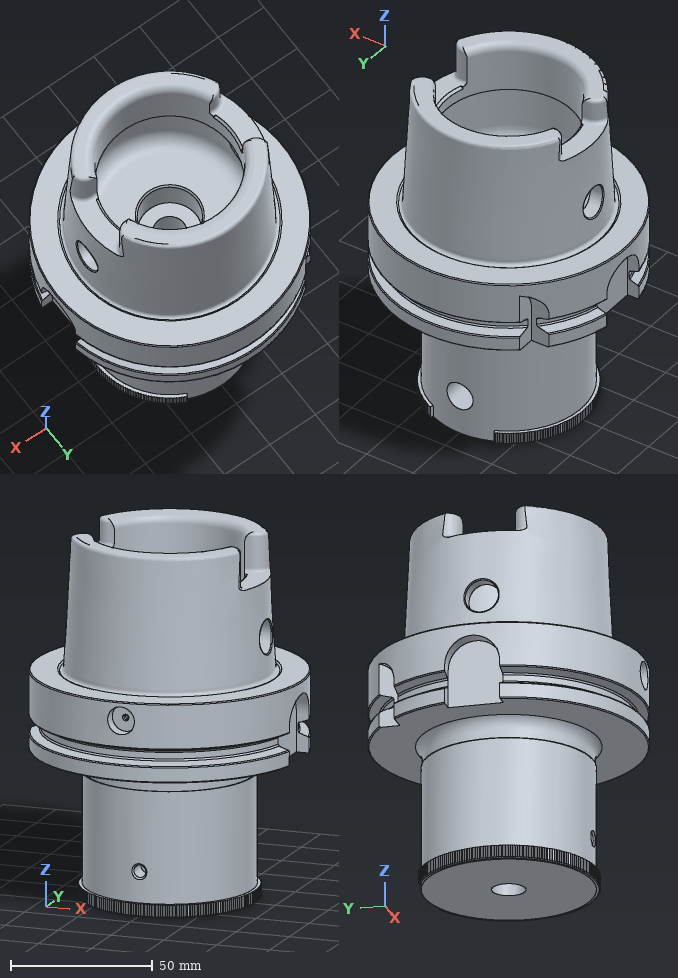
import cadquery as cq
import math

total_height = 132.9
flange_top = 82.9
flange_bottom = 54.0
groove_center_z = 63.0
ring_height = 4.8

nose_radius = 35.2
taper_base_radius = 37.6
taper_base_z = 84.8
nose_round = 1.6

flange_radius = 50.0
flange_edge_chamfer = 0.4
groove_floor_radius = 45.9
groove_shoulder_radius = 46.2
groove_mouth_half = 3.0
groove_shoulder_half = 1.9
groove_floor_half = 1.2

relief_round = 1.5
relief_depth = 0.5
relief_edge_chamfer = 0.7
relief_floor_z = flange_top - relief_depth
relief_floor_radius = taper_base_radius + relief_round

barrel_radius = 31.1
neck_radius = 30.7
barrel_top = 46.0
neck_round_start = 49.2
neck_round = 6.0

mouth_radius = 26.6
mouth_round = 3.6
lip_bottom = 112.7
chamber_radius = 31.5
chamber_round = 6.6
chamber_floor = 86.4
lip_slope = 30.0
coolant_seat_radius = 11.5
coolant_seat_chamfer = 0.7
coolant_seat_depth = 13.3
axial_hole_radius = 6.1

drive_half_width = 10.0
drive_corner_radius = 5.3
drive_land_x = 32.0
drive_floor_round = 1.7
drive_rim_chamfer = 0.9
drive_floor_left = 122.7
drive_floor_right = 117.9

gripper_slot_half_width = 10.1
gripper_slot_floor = 44.1
gripper_slot_top = 78.3
notch_floor = 31.2
notch_side = 31.5

cross_hole_radius = 6.1
cross_hole_z = 98.0
cross_hole_chamfer = 0.4
chip_hole_radius = 5.0
chip_hole_depth = 5.0
chip_hole_z = 76.0
chip_pilot_radius = 0.8
chip_pilot_mouth_radius = 1.2
chip_pilot_depth = 2.0
barrel_hole_z = 16.2
front_hole_radius = 2.3
front_hole_mouth_radius = 2.9
front_hole_depth = 8.0
back_hole_radius = 5.6
back_hole_depth = 10.6

ring_radius = 32.5
ring_half_gap = 25.0
ring_edge_chamfer = 0.5
tooth_count = 176
tooth_depth = 0.3

rim_margin = 0.7

overshoot = 6.6


def arc_point(center_u, center_v, radius, degrees):
    """Point on a circle in any sketch plane, at an angle from its first axis."""
    angle = math.radians(degrees)
    return (center_u + radius * math.cos(angle), center_v + radius * math.sin(angle))


def revolve_profile(profile):
    """Close a half section drawn in the XZ plane and turn it about the Z axis."""
    return profile.close().revolve(360, (0, 0, 0), (0, 1, 0))


def outer_blank():
    """Solid of revolution: barrel, flange with gripper groove, and taper."""
    neck_center_r = neck_radius + neck_round
    neck_rise = flange_bottom - neck_round_start
    neck_end_degrees = 180 - math.degrees(math.asin(neck_rise / neck_round))
    neck_end = arc_point(neck_center_r, neck_round_start, neck_round, neck_end_degrees)
    neck_middle = arc_point(neck_center_r, neck_round_start, neck_round, (180 + neck_end_degrees) / 2)
    relief_center_z = relief_floor_z + relief_round
    relief_middle = arc_point(relief_floor_radius, relief_center_z, relief_round, 225)
    relief_edge_radius = relief_floor_radius + relief_edge_chamfer
    nose_start_z = total_height - nose_round
    nose_middle = arc_point(nose_radius - nose_round, nose_start_z, nose_round, 45)
    chamfered_radius = flange_radius - flange_edge_chamfer

    profile = (
        cq.Workplane("XZ")
        .moveTo(0, 0)
        .lineTo(barrel_radius, 0)
        .lineTo(barrel_radius, barrel_top)
        .lineTo(neck_radius, barrel_top)
        .lineTo(neck_radius, neck_round_start)
        .threePointArc(neck_middle, neck_end)
        .lineTo(chamfered_radius, flange_bottom)
        .lineTo(flange_radius, flange_bottom + flange_edge_chamfer)
        .lineTo(flange_radius, groove_center_z - groove_mouth_half - flange_edge_chamfer)
        .lineTo(chamfered_radius, groove_center_z - groove_mouth_half)
        .lineTo(groove_shoulder_radius, groove_center_z - groove_shoulder_half)
        .lineTo(groove_floor_radius, groove_center_z - groove_floor_half)
        .lineTo(groove_floor_radius, groove_center_z + groove_floor_half)
        .lineTo(groove_shoulder_radius, groove_center_z + groove_shoulder_half)
        .lineTo(chamfered_radius, groove_center_z + groove_mouth_half)
        .lineTo(flange_radius, groove_center_z + groove_mouth_half + flange_edge_chamfer)
        .lineTo(flange_radius, flange_top - flange_edge_chamfer)
        .lineTo(chamfered_radius, flange_top)
        .lineTo(relief_edge_radius, flange_top)
        .lineTo(relief_floor_radius, relief_floor_z)
        .threePointArc(relief_middle, (taper_base_radius, relief_center_z))
        .lineTo(taper_base_radius, taper_base_z)
        .lineTo(nose_radius, nose_start_z)
        .threePointArc(nose_middle, (nose_radius - nose_round, total_height))
        .lineTo(0, total_height)
    )
    return revolve_profile(profile)


def bore():
    """Clamping bore with lip and chamber, coolant-tube seat and axial hole."""
    chamber_top = lip_bottom - (chamber_radius - mouth_radius) * math.tan(math.radians(lip_slope))
    chamber_floor_radius = chamber_radius - chamber_round
    chamber_middle = arc_point(chamber_floor_radius, chamber_floor + chamber_round, chamber_round, -45)
    mouth_edge_radius = mouth_radius + mouth_round
    mouth_start_z = total_height - mouth_round
    mouth_middle = arc_point(mouth_edge_radius, mouth_start_z, mouth_round, 135)
    seat_floor = chamber_floor - coolant_seat_depth

    profile = (
        cq.Workplane("XZ")
        .moveTo(0, -overshoot)
        .lineTo(axial_hole_radius, -overshoot)
        .lineTo(axial_hole_radius, seat_floor)
        .lineTo(coolant_seat_radius, seat_floor)
        .lineTo(coolant_seat_radius, chamber_floor - coolant_seat_chamfer)
        .lineTo(coolant_seat_radius + coolant_seat_chamfer, chamber_floor)
        .lineTo(chamber_floor_radius, chamber_floor)
        .threePointArc(chamber_middle, (chamber_radius, chamber_floor + chamber_round))
        .lineTo(chamber_radius, chamber_top)
        .lineTo(mouth_radius, lip_bottom)
        .lineTo(mouth_radius, mouth_start_z)
        .threePointArc(mouth_middle, (mouth_edge_radius, total_height))
        .lineTo(mouth_edge_radius, total_height + overshoot)
        .lineTo(0, total_height + overshoot)
    )
    return revolve_profile(profile)


def drive_slot(floor_z):
    """Cutter for a +X drive slot: flared mouth, rounded floor, chamfered inner rim."""
    flare_half_width = drive_half_width + drive_corner_radius
    outer_x = flange_radius
    flare_start_x = drive_land_x - drive_corner_radius
    diagonal = drive_corner_radius * math.sqrt(0.5)
    flare_middle = (flare_start_x + diagonal, flare_half_width - diagonal)

    slot = (
        cq.Workplane("XY", origin=(0, 0, floor_z))
        .moveTo(0, 0)
        .lineTo(0, drive_half_width)
        .lineTo(flare_start_x, drive_half_width)
        .threePointArc(flare_middle, (drive_land_x, flare_half_width))
        .lineTo(drive_land_x, flange_radius)
        .lineTo(outer_x, flange_radius)
        .lineTo(outer_x, 0)
        .mirrorX()
        .extrude(total_height + overshoot - floor_z)
        .faces("<Z")
        .edges("not(<X or >X or <Y or >Y)")
        .fillet(drive_floor_round)
    )
    rim = cq.Workplane(
        cq.Solid.makeCone(
            mouth_radius,
            mouth_radius + drive_rim_chamfer,
            drive_rim_chamfer,
            cq.Vector(0, 0, floor_z - drive_rim_chamfer),
        )
    )
    slot_width_strip = cq.Workplane("XY", origin=(0, 0, floor_z)).box(
        outer_x,
        2 * (drive_half_width - drive_floor_round),
        2 * drive_rim_chamfer,
        centered=(False, True, True),
    )
    return slot.union(rim.intersect(slot_width_strip))


def drive_slots():
    """Both drive slots, widened by a round along the top edges of the horns between them."""
    slots = drive_slot(drive_floor_right).union(
        drive_slot(drive_floor_left).rotate((0, 0, 0), (0, 0, 1), 180)
    )
    start_z = total_height - 2 * nose_round
    block = cq.Workplane("XY", origin=(0, 0, start_z)).circle(flange_radius).extrude(2 * nose_round)
    horns = block.cut(slots)
    rim_edges = [
        edge
        for edge in horns.faces(">Z").edges().vals()
        if math.hypot(edge.positionAt(0.5).x, edge.positionAt(0.5).y) < flange_radius - rim_margin
    ]
    rounded_horns = horns.newObject(rim_edges).fillet(nose_round)
    return slots.union(block.cut(rounded_horns))


def gripper_slot():
    """Cutter for a +X flange slot: flat floor, round upper end, open below."""
    arc_center_z = gripper_slot_top - gripper_slot_half_width
    return (
        cq.Workplane("YZ", origin=(gripper_slot_floor, 0, 0))
        .moveTo(-gripper_slot_half_width, flange_bottom)
        .lineTo(-gripper_slot_half_width, arc_center_z)
        .threePointArc((0, gripper_slot_top), (gripper_slot_half_width, arc_center_z))
        .lineTo(gripper_slot_half_width, flange_bottom)
        .close()
        .extrude(flange_radius)
    )


def locating_notch():
    """Off-centre cut on the -X, +Y side, shaped like the gripper slots."""
    shift_y = notch_side + gripper_slot_half_width
    return (
        gripper_slot()
        .rotate((0, 0, 0), (0, 0, 1), 180)
        .translate((gripper_slot_floor - notch_floor, shift_y, 0))
    )


def side_hole(radius, depth, surface, z, direction):
    """Cutter along Y, entering the +Y (1) or -Y (-1) side to the given depth."""
    return cq.Workplane(
        cq.Solid.makeCylinder(
            radius,
            depth + overshoot,
            cq.Vector(0, direction * (surface + overshoot), z),
            cq.Vector(0, -direction, 0),
        )
    )


def countersunk_hole(radius, mouth_radius, depth, surface, z):
    """Cutter for a -Y side hole with a 45-degree countersink that starts at the surface."""
    countersink = cq.Solid.makeCone(
        mouth_radius,
        radius,
        mouth_radius - radius,
        cq.Vector(0, -surface, z),
        cq.Vector(0, 1, 0),
    )
    return side_hole(radius, depth, surface, z, -1).union(cq.Workplane(countersink))


def cut_cross_hole(adapter):
    """Drill along X through both walls of the taper and chamfer the outer rims."""
    drill = (
        cq.Workplane("YZ", origin=(0, 0, cross_hole_z))
        .circle(cross_hole_radius)
        .extrude(flange_radius, both=True)
    )
    drilled = adapter.cut(drill)
    half_width = cross_hole_radius + rim_margin
    rims = cq.selectors.SumSelector(*[
        cq.selectors.BoxSelector(
            (side * (chamber_radius + rim_margin), -half_width, cross_hole_z - half_width),
            (side * flange_radius, half_width, cross_hole_z + half_width),
            boundingbox=True,
        )
        for side in (-1, 1)
    ])
    return drilled.edges(rims).chamfer(cross_hole_chamfer)


def make_adapter():
    """Adapter body: turned blank with its slots, notch and radial holes cut."""
    adapter = outer_blank().cut(drive_slots()).cut(bore())
    adapter = cut_cross_hole(adapter)
    for turn in (0, 180):
        adapter = adapter.cut(gripper_slot().rotate((0, 0, 0), (0, 0, 1), turn))
    adapter = adapter.cut(locating_notch())

    chip_floor = flange_radius - chip_hole_depth
    adapter = adapter.cut(side_hole(chip_hole_radius, chip_hole_depth, flange_radius, chip_hole_z, -1))
    chip_pilot = countersunk_hole(
        chip_pilot_radius, chip_pilot_mouth_radius, chip_pilot_depth, chip_floor, chip_hole_z
    )
    adapter = adapter.cut(chip_pilot)

    front_hole = countersunk_hole(
        front_hole_radius, front_hole_mouth_radius, front_hole_depth, barrel_radius, barrel_hole_z
    )
    adapter = adapter.cut(front_hole)
    return adapter.cut(side_hole(back_hole_radius, back_hole_depth, barrel_radius, barrel_hole_z, 1))


def make_ring():
    """Open snap ring around the foot of the barrel, straight-knurled, gap at +Y."""
    start = 90 + ring_half_gap
    sweep = 360 - 2 * ring_half_gap
    root_radius = ring_radius - tooth_depth
    outline = []
    for step in range(2 * tooth_count + 1):
        radius = ring_radius if step % 2 else root_radius
        outline.append(arc_point(0, 0, radius, start + sweep * step / (2 * tooth_count)))
    inner_start = arc_point(0, 0, barrel_radius, start)
    inner_end = arc_point(0, 0, barrel_radius, start + sweep)
    knurled = (
        cq.Workplane("XY")
        .polyline(outline)
        .lineTo(*inner_end)
        .threePointArc((0, -barrel_radius), inner_start)
        .close()
        .extrude(ring_height)
    )
    chamfered_disc = (
        cq.Workplane("XY")
        .circle(ring_radius)
        .extrude(ring_height)
        .faces("<Z")
        .chamfer(ring_edge_chamfer)
    )
    return knurled.intersect(chamfered_disc)


adapter = make_adapter()
ring = make_ring()
result = cq.Compound.makeCompound([adapter.solids().val(), ring.solids().val()])